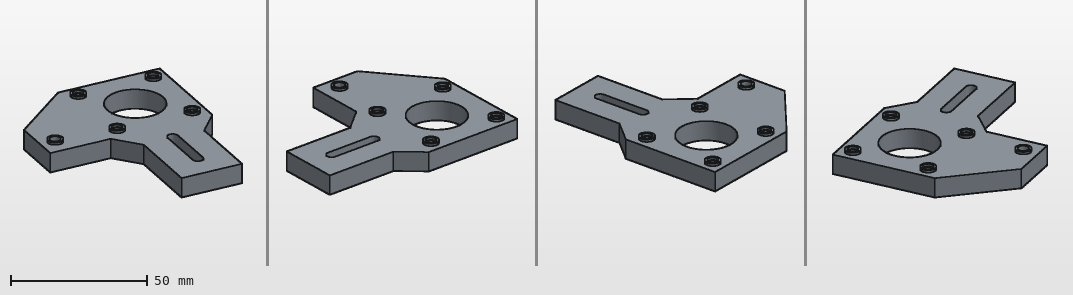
import cadquery as cq

plate_thickness = 8.0
boss_height = 1.0
total_length = 82.0
total_depth = 67.0
mount_side = 42.0

bore_diameter = 23.0
screw_pitch = 31.0
screw_diameter = 3.2

boss_diameter = 6.0
boss_bore_diameter = 4.2

arm_width = 25.0
arm_start_x = 51.8
slot_width = 4.2
slot_length = 24.2
slot_center_x = 60.85

foot_hole_x = 34.35
foot_hole_y = 6.0

bore_x = mount_side / 2
bore_y = total_depth - mount_side / 2
mount_bottom_y = total_depth - mount_side
arm_bottom_y = bore_y - arm_width / 2
arm_top_y = bore_y + arm_width / 2
screw_points = [
    (bore_x + side_x * screw_pitch / 2, bore_y + side_y * screw_pitch / 2)
    for side_x in (-1, 1)
    for side_y in (-1, 1)
]
foot_point = (foot_hole_x, foot_hole_y)


def make_plate():
    outline = [
        (bore_x, 0),
        (mount_side, 0),
        (mount_side, mount_bottom_y),
        (arm_start_x, arm_bottom_y),
        (total_length, arm_bottom_y),
        (total_length, arm_top_y),
        (arm_start_x, arm_top_y),
        (mount_side, total_depth),
        (0, total_depth),
        (0, mount_bottom_y),
    ]
    return cq.Workplane("XY").polyline(outline).close().extrude(plate_thickness)


def cylinders(points, diameter, bottom_z, height):
    plane = cq.Workplane("XY").workplane(offset=bottom_z)
    return plane.pushPoints(points).circle(diameter / 2).extrude(height)


def make_slot():
    plane = cq.Workplane("XY").center(slot_center_x, bore_y)
    return plane.slot2D(slot_length, slot_width).extrude(plate_thickness)


total_height = plate_thickness + boss_height
boss_points = screw_points + [foot_point]

result = make_plate().union(cylinders(boss_points, boss_diameter, plate_thickness, boss_height))

result = result.cut(cylinders(screw_points, boss_bore_diameter, plate_thickness, boss_height))
result = result.cut(cylinders([foot_point], boss_bore_diameter, 0, total_height))
result = result.cut(cylinders(screw_points, screw_diameter, 0, plate_thickness))
result = result.cut(cylinders([(bore_x, bore_y)], bore_diameter, 0, plate_thickness))
result = result.cut(make_slot())